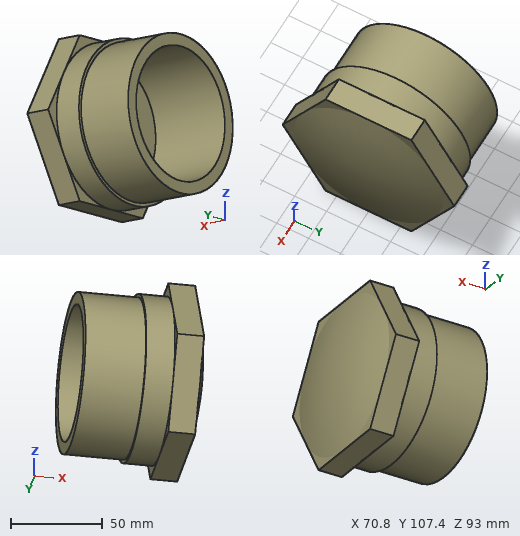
import cadquery as cq
import math

spigot_length = 33.4
collar_length = 15.8
hex_length = 14.9
dome_height = 6.7

hex_across_corners = 107.4
hex_across_flats = hex_across_corners * math.cos(math.pi / 6)
spigot_diameter = 89.1
collar_diameter = hex_across_flats
bore_diameter = 75.5

collar_start = spigot_length
hex_start = collar_start + collar_length
dome_start = hex_start + hex_length

bore_depth = hex_start


def cylinder(start, length, diameter):
    """Cylinder on the X axis, extending toward +X from start."""
    return cq.Workplane("YZ", origin=(start, 0, 0)).circle(diameter / 2).extrude(length)


def hex_flange():
    """Hexagonal flange with corners on the Y axis."""
    return cq.Workplane("YZ", origin=(hex_start, 0, 0)).polygon(6, hex_across_corners).extrude(hex_length)


def dome():
    """Shallow spherical cap whose base circle touches the hexagon flats."""
    base_radius = hex_across_flats / 2
    sphere_radius = (base_radius**2 + dome_height**2) / (2 * dome_height)
    half_angle = math.asin(base_radius / sphere_radius) / 2
    mid_x = dome_start + dome_height - sphere_radius * (1 - math.cos(half_angle))
    mid_radius = sphere_radius * math.sin(half_angle)
    return (
        cq.Workplane("XY")
        .moveTo(dome_start, 0)
        .lineTo(dome_start, base_radius)
        .threePointArc((mid_x, mid_radius), (dome_start + dome_height, 0))
        .close()
        .revolve(360, (0, 0, 0), (1, 0, 0))
    )


spigot = cylinder(0, spigot_length, spigot_diameter)
collar = cylinder(collar_start, collar_length, collar_diameter)
bore = cylinder(0, bore_depth, bore_diameter)

result = spigot.union(collar).union(hex_flange()).union(dome()).cut(bore)